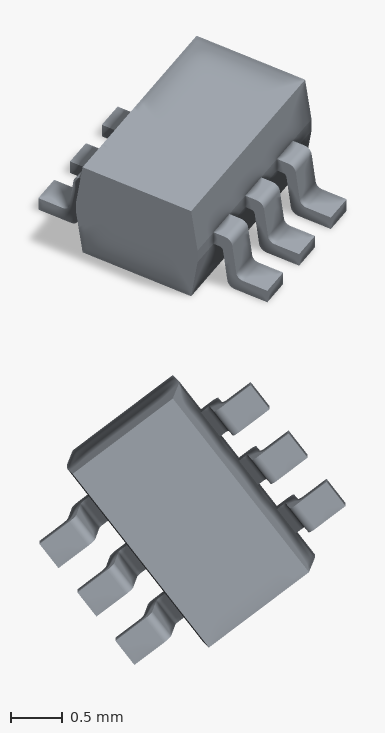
import cadquery as cq
import math

overall_span = 2.56
body_length = 2.15
body_height = 1.12
body_top_width = 1.213
body_waist_width = 1.357

lead_thickness = 0.15
web_thickness = 0.118
lead_width = 0.3
lead_pitch = 0.6
leads_per_side = 3
lead_row_offset = -0.025
shoulder_top = 0.635
shoulder_reach = 0.878
web_tilt = 7.5
foot_top_radius = 0.075
shoulder_underside_radius = 0.044
outer_bend_radius = 0.085
lead_embedding = 0.05

shoulder_bottom = shoulder_top - lead_thickness


def make_body():
    """Moulded block with drafted sides above and below a vertical waist band."""
    half_top = body_top_width / 2
    half_waist = body_waist_width / 2
    return (
        cq.Workplane("XZ")
        .moveTo(0, 0)
        .lineTo(half_top, 0)
        .lineTo(half_waist, shoulder_bottom)
        .lineTo(half_waist, shoulder_top)
        .lineTo(half_top, body_height)
        .lineTo(0, body_height)
        .mirrorY()
        .extrude(body_length / 2, both=True)
    )


def web_outer_x(z):
    return shoulder_reach + (shoulder_top - z) * math.tan(math.radians(web_tilt))


def web_inner_x(z):
    return web_outer_x(z) - web_thickness / math.cos(math.radians(web_tilt))


def make_lead():
    """One lead on the +X side, centred on Y = 0."""
    root_x = body_waist_width / 2 - lead_embedding
    toe_x = overall_span / 2
    outline = [
        (root_x, shoulder_top),
        (web_outer_x(shoulder_top), shoulder_top),
        (web_outer_x(lead_thickness), lead_thickness),
        (toe_x, lead_thickness),
        (toe_x, 0),
        (web_inner_x(0), 0),
        (web_inner_x(shoulder_bottom), shoulder_bottom),
        (root_x, shoulder_bottom),
    ]
    lead = cq.Workplane("XZ").polyline(outline).close().extrude(lead_width / 2, both=True)

    def bend_edge(x, z):
        return cq.selectors.NearestToPointSelector((x, 0, z))

    bends = [
        (web_outer_x(shoulder_top), shoulder_top, outer_bend_radius),
        (web_inner_x(0), 0, outer_bend_radius),
        (web_outer_x(lead_thickness), lead_thickness, foot_top_radius),
        (web_inner_x(shoulder_bottom), shoulder_bottom, shoulder_underside_radius),
    ]
    for x, z, radius in bends:
        lead = lead.edges("|Y").edges(bend_edge(x, z)).fillet(radius)
    return lead


result = make_body()
right_lead = make_lead()
left_lead = right_lead.mirror("YZ")
for index in range(leads_per_side):
    lead_y = lead_row_offset + (index - (leads_per_side - 1) / 2) * lead_pitch
    for lead in (right_lead, left_lead):
        result = result.union(lead.translate((0, lead_y, 0)))